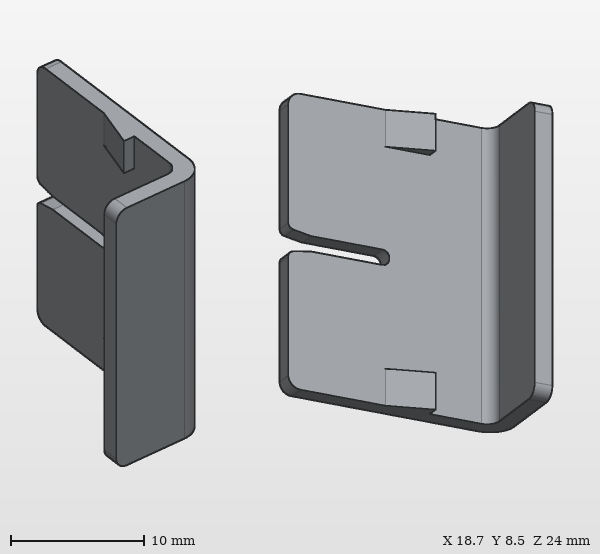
import cadquery as cq
import math

width = 18.7
depth = 8.5
height = 24.0
thickness = 1.5
inner_bend_radius = 1.0
outer_bend_radius = 2.02
corner_radius = 1.0

slot_width = 1.25
slot_length = 8.5
mouth_length = 1.87
mouth_angle = 10.0
mouth_edge_radius = 0.5

catch_start = 8.14
catch_length = 3.75
catch_rise = 0.98
catch_height = 3.0


def make_bracket():
    """L-shaped sheet with a rounded bend and rounded free corners."""
    bracket = (
        cq.Workplane("XY")
        .polyline([
            (0, 0),
            (width, 0),
            (width, -depth),
            (width - thickness, -depth),
            (width - thickness, -thickness),
            (0, -thickness),
        ])
        .close()
        .extrude(height)
    )
    inner_edge = cq.selectors.NearestToPointSelector((width - thickness, -thickness, height / 2))
    outer_edge = cq.selectors.NearestToPointSelector((width, 0, height / 2))
    bracket = bracket.edges("|Z").edges(inner_edge).fillet(inner_bend_radius)
    bracket = bracket.edges("|Z").edges(outer_edge).fillet(outer_bend_radius)
    bracket = bracket.faces("<X").edges("|Y").fillet(corner_radius)
    return bracket.faces("<Y").edges("|X").fillet(corner_radius)


def make_slot():
    """Round-ended slot cutter that flares toward the free edge."""
    half_width = slot_width / 2
    half_mouth = half_width + mouth_length * math.tan(math.radians(mouth_angle))
    middle = height / 2
    return (
        cq.Workplane("XZ")
        .moveTo(0, middle - half_mouth)
        .lineTo(mouth_length, middle - half_width)
        .lineTo(slot_length - half_width, middle - half_width)
        .threePointArc((slot_length, middle), (slot_length - half_width, middle + half_width))
        .lineTo(mouth_length, middle + half_width)
        .lineTo(0, middle + half_mouth)
        .close()
        .extrude(thickness)
    )


def make_catch(bottom):
    """Wedge rising from the inner plate face to a square shoulder."""
    catch_end = catch_start + catch_length
    return (
        cq.Workplane("XY", origin=(0, 0, bottom))
        .polyline([
            (catch_start, -thickness),
            (catch_end, -thickness - catch_rise),
            (catch_end, -thickness),
        ])
        .close()
        .extrude(catch_height)
    )


result = make_bracket().cut(make_slot())
mouth_zone = cq.selectors.BoxSelector(
    (-0.25, -thickness, height / 2 - slot_width),
    (0.25, 0, height / 2 + slot_width),
)
result = result.edges("|Y").edges(mouth_zone).fillet(mouth_edge_radius)

for bottom in (0, height - catch_height):
    result = result.union(make_catch(bottom))